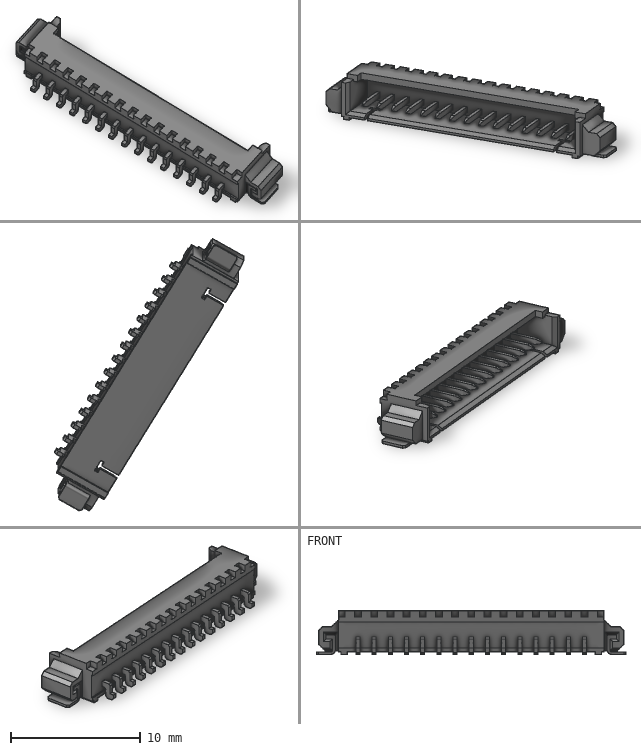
import cadquery as cq


total_length = 23.9
total_depth = 5.2
total_height = 3.4
back_y = -total_depth / 2
mouth_y = total_depth / 2

contact_count = 15
row_length = 17.5
pitch = row_length / (contact_count - 1)
contact_width = 0.3

body_half = 10.25
body_bottom = 0.22
wall_y = -1.5
lip_y = -1.63
lip_bottom = 2.5
ledge_top = 0.5
shelf_y = 1.6
shelf_z = 3.0

cavity_half = 9.68
cavity_back_y = -0.84
cavity_floor = 0.62
cavity_ceiling = 2.87
lead_in = 0.22
lead_in_depth = 0.35
roof_opening_half = 9.35
roof_edge_y = 0.95

slot_x = 8.13
slot_width = 0.29
slot_end_y = 1.1
slot_bar_width = 0.95
slot_bar_depth = 0.29

notch_width = 0.53
notch_height = 0.5
notch_depth = 0.62
foot_width = 0.5
foot_x = 9.82

wing_x = 11.78
wing_front_y = -0.62
wing_back_y = 2.17
wing_root_z = 2.68
wing_top = 2.15
wing_bottom = 0.29
wing_top_chamfer = 0.29
wing_bottom_chamfer = 0.5
wing_slope_x = 10.8

clip_thickness = 0.22
clip_front_y = -0.55
clip_back_y = 1.55
clip_wall_x = 10.5
clip_hook_x = 11.2
clip_top = 1.53
clip_hook_bottom = 1.22
clip_bend = 0.38
clip_hook_chamfer = 0.1
clip_corner = 0.17
slot_mouth = 0.22


def box(x0, x1, y0, y1, z0, z1):
    """Axis-aligned block between the given limits."""
    return cq.Workplane("XY").box(x1 - x0, y1 - y0, z1 - z0, centered=False).translate((x0, y0, z0))


def extrude_along_y(points, y0, y1):
    """Prism from an (x, z) outline between two Y positions."""
    return cq.Workplane("XZ", origin=(0, y0, 0)).polyline(points).close().extrude(y0 - y1)


def taper_along_y(points0, y0, points1, y1):
    """Straight-sided solid between two matching (x, z) outlines."""
    return (
        cq.Workplane("XZ", origin=(0, y0, 0)).polyline(points0).close()
        .workplane(offset=y0 - y1).polyline(points1).close()
        .loft(ruled=True)
    )


def rectangle(half_width, z0, z1):
    """Corner points of an (x, z) rectangle centred on X = 0."""
    return [(-half_width, z0), (half_width, z0), (half_width, z1), (-half_width, z1)]


def both_ends(solid):
    """The solid together with its mirror image at the other end."""
    return solid.union(solid.mirror("YZ"))


def housing_block():
    """Outer shape seen along X: rear shelf, overhanging lip and bottom ledge."""
    outline = [
        (lip_y, body_bottom), (mouth_y, body_bottom), (mouth_y, shelf_z), (shelf_y, shelf_z),
        (shelf_y, total_height), (lip_y, total_height), (lip_y, lip_bottom), (wall_y, lip_bottom),
        (wall_y, ledge_top), (lip_y, ledge_top),
    ]
    return cq.Workplane("YZ").polyline(outline).close().extrude(body_half, both=True)


def mating_cavity():
    """Cavity with flared mouth, open above in front of the roof edge."""
    pocket = box(-cavity_half, cavity_half, cavity_back_y, mouth_y, cavity_floor, cavity_ceiling)
    roof_opening = box(
        -roof_opening_half, roof_opening_half, roof_edge_y, mouth_y, cavity_floor, total_height
    )
    shelf_opening = box(-cavity_half, cavity_half, shelf_y, mouth_y, cavity_floor, total_height)
    flare = taper_along_y(
        rectangle(cavity_half, cavity_floor, total_height), mouth_y - lead_in_depth,
        rectangle(cavity_half + lead_in, cavity_floor - lead_in, total_height), mouth_y,
    )
    return pocket.union(roof_opening).union(shelf_opening).union(flare)


def floor_slot():
    """T-shaped slot through the cavity floor."""
    stem = box(
        slot_x - slot_width / 2, slot_x + slot_width / 2, slot_end_y, mouth_y, 0, cavity_floor
    )
    bar = box(
        slot_x - slot_bar_width / 2, slot_x + slot_bar_width / 2,
        slot_end_y - slot_bar_depth, slot_end_y, 0, cavity_floor,
    )
    return stem.union(bar)


def top_notches():
    """Row of notches in the lip, one per contact plus one beyond each end."""
    notch_count = contact_count + 2
    return (
        cq.Workplane("XY", origin=(0, lip_y + notch_depth / 2, total_height))
        .rarray(pitch, 0.25, notch_count, 1)
        .rect(notch_width, notch_depth)
        .extrude(-notch_height)
    )


def foot():
    """Stand-off rail under one end of the housing."""
    return box(foot_x - foot_width / 2, foot_x + foot_width / 2, lip_y, mouth_y, 0, body_bottom)


def wing():
    """Block on the +X end, with a hook-shaped slot flared at its front face."""
    outline = [
        (body_half, wing_bottom), (wing_x - wing_bottom_chamfer, wing_bottom),
        (wing_x, wing_bottom + wing_bottom_chamfer), (wing_x, wing_top - wing_top_chamfer),
        (wing_x - wing_top_chamfer, wing_top), (wing_slope_x, wing_top), (body_half, wing_root_z),
    ]
    block = extrude_along_y(outline, wing_front_y, wing_back_y)
    inner_y = wing_front_y + slot_mouth
    flare = taper_along_y(slot_outline(slot_mouth), wing_front_y, slot_outline(0), inner_y)
    return block.cut(flare)


def slot_outline(margin):
    """Outline of the hook-shaped slot, grown outward by the margin."""
    outer_x = clip_wall_x - margin
    inner_x = clip_wall_x + clip_thickness + margin
    end_x = clip_hook_x + margin
    floor_z = clip_hook_bottom - margin
    core_z = wing_bottom + margin
    return [
        (outer_x, 0), (outer_x, clip_top + margin), (end_x, clip_top + margin), (end_x, floor_z),
        (inner_x, floor_z), (inner_x, core_z), (wing_x, core_z), (wing_x, 0),
    ]


def clip():
    """Bent strip: foot on the board, wall against the housing and hook inside the wing."""
    plate_x = total_length / 2
    inner_x = clip_wall_x + clip_thickness
    inner_bend = clip_bend - clip_thickness
    strip = (
        cq.Workplane("XZ", origin=(0, clip_front_y, 0))
        .moveTo(plate_x, 0)
        .lineTo(clip_wall_x + clip_bend, 0)
        .radiusArc((clip_wall_x, clip_bend), clip_bend)
        .lineTo(clip_wall_x, clip_top - clip_hook_chamfer)
        .lineTo(clip_wall_x + clip_hook_chamfer, clip_top)
        .lineTo(clip_hook_x, clip_top)
        .lineTo(clip_hook_x, clip_hook_bottom)
        .lineTo(inner_x + clip_hook_chamfer, clip_hook_bottom)
        .lineTo(inner_x, clip_hook_bottom - clip_hook_chamfer)
        .lineTo(inner_x, clip_bend)
        .radiusArc((inner_x + inner_bend, clip_thickness), -inner_bend)
        .lineTo(plate_x, clip_thickness)
        .close()
        .extrude(clip_front_y - clip_back_y)
    )
    return strip.edges("|Z and >X").chamfer(clip_corner)


def contact():
    """One contact centred on X = 0: bent solder tail, straight pin and tapered tip."""
    pin_bottom = 0.88
    pin_top = 1.35
    tail_y = -2.27
    tail_inner_y = -1.85
    bend_radius = 0.2
    toe_top = 0.5
    toe_chamfer = 0.17
    shoulder_run = 0.1
    shoulder_drop = 0.15
    taper_y = 1.4
    tip_y = 1.91
    tip_half = 0.05
    tail_and_pin = (
        cq.Workplane("YZ")
        .moveTo(taper_y, pin_bottom)
        .lineTo(tail_inner_y + bend_radius, pin_bottom)
        .radiusArc((tail_inner_y, pin_bottom - bend_radius), -bend_radius)
        .lineTo(tail_inner_y, toe_chamfer)
        .lineTo(tail_inner_y - toe_chamfer, 0)
        .lineTo(back_y + toe_chamfer, 0)
        .lineTo(back_y, toe_chamfer)
        .lineTo(back_y, toe_top)
        .lineTo(tail_y, toe_top)
        .lineTo(tail_y, pin_top - shoulder_drop)
        .lineTo(tail_y + shoulder_run, pin_top)
        .lineTo(taper_y, pin_top)
        .close()
        .extrude(contact_width / 2, both=True)
    )
    pin_mid = (pin_bottom + pin_top) / 2
    tip = taper_along_y(
        rectangle(contact_width / 2, pin_bottom, pin_top), taper_y,
        rectangle(tip_half, pin_mid - tip_half, pin_mid + tip_half), tip_y,
    )
    return tail_and_pin.union(tip)


housing = (
    housing_block()
    .cut(mating_cavity())
    .cut(both_ends(floor_slot()))
    .cut(top_notches())
    .union(both_ends(foot()))
)
result = housing.union(both_ends(wing())).union(both_ends(clip()))

for index in range(contact_count):
    contact_x = index * pitch - row_length / 2
    result = result.union(contact().translate((contact_x, 0, 0)))